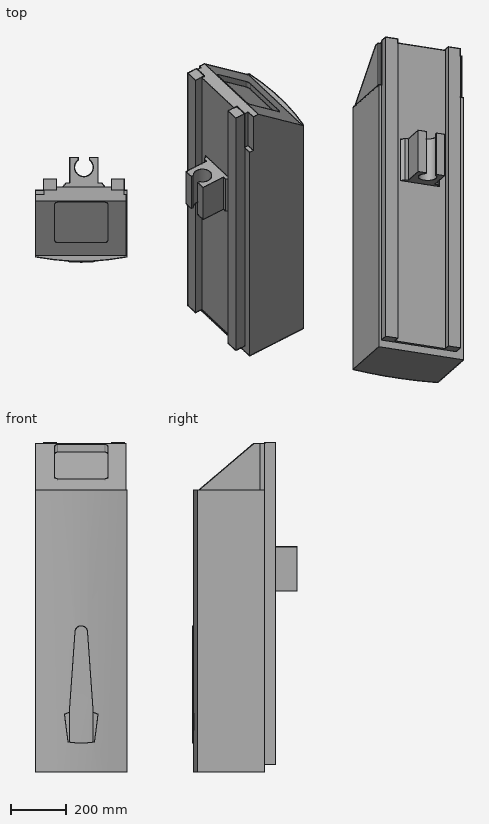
import cadquery as cq
import math


WIDTH = 329.0
HALF_WIDTH = WIDTH / 2
BODY_BACK = 255.0
BODY_TOP = 1175.0
COVER_TOP = 1009.0
COVER_EDGE = 15.0
CAP_RIGHT = 160.0
SLOPE_FRONT = 20.0
SLOPE_BACK = 216.0
NOTCH_FRONT = 238.0
NOTCH_UNDERCUT = 2.0

POCKET_WIDTH = 192.0
POCKET_FRONT = 67.0
POCKET_BACK = 211.0
POCKET_DEPTH = 27.0
POCKET_RADIUS = 11.0

FRAME_CENTER = 10.0
FRAME_WIDTH = 290.0
FRAME_LEFT = FRAME_CENTER - FRAME_WIDTH / 2
FRAME_RIGHT = FRAME_CENTER + FRAME_WIDTH / 2
FRAME_BOTTOM = 27.0
FRAME_TOP = 1178
RAIL_WIDTH = 47.0
RAIL_BACK = 295.0
PLATE_BACK = 266.0

CLAMP_BOTTOM = 647.0
CLAMP_TOP = 806.0
CLAMP_WIDTH = 103.0
CLAMP_BACK = 371.0
CLAMP_FOOT_BACK = 280.0
CLAMP_FOOT_WIDTH = 151.0
CLAMP_FOOT_TOP_WIDTH = 127.0
BORE_DIAMETER = 66.0
BORE_Y = 336.0
MOUTH_WIDTH = 39.0

HANDLE_RAISE = 4.0
WING_RAISE = 1.0
HANDLE_REACH = 15.0
TONGUE_TOP = 523.0
TONGUE_BOTTOM = 104.0
TONGUE_CORNER_Z = 107.0
TONGUE_SHOULDER_Z = 235.0
TONGUE_HALF_WIDTH = 41.0
ARCH_RADIUS = 22.0
WING_TOP_INNER_Z = 215.0
WING_TOP_OUTER_Z = 207.0
WING_TOP_HALF_WIDTH = 60.0
WING_BOTTOM_HALF_WIDTH = 47.0


def box(x_min, x_max, y_min, y_max, z_min, z_max):
    size = (x_max - x_min, y_max - y_min, z_max - z_min)
    return cq.Workplane("XY").box(*size, centered=False).translate((x_min, y_min, z_min))


def covered_block(raise_by):
    """Block over the full width whose front follows the cover, moved forward by raise_by."""
    return (
        cq.Workplane("XY")
        .moveTo(-HALF_WIDTH, COVER_EDGE - raise_by)
        .threePointArc((0, -raise_by), (HALF_WIDTH, COVER_EDGE - raise_by))
        .lineTo(HALF_WIDTH, BODY_BACK)
        .lineTo(-HALF_WIDTH, BODY_BACK)
        .close()
        .extrude(COVER_TOP)
    )


def make_cap():
    cap = (
        cq.Workplane("YZ", origin=(-HALF_WIDTH, 0, 0))
        .polyline([
            (SLOPE_FRONT, COVER_TOP),
            (SLOPE_BACK, BODY_TOP),
            (BODY_BACK, BODY_TOP),
            (BODY_BACK, COVER_TOP),
        ])
        .close()
        .extrude(HALF_WIDTH + CAP_RIGHT)
    )
    notch_left = FRAME_LEFT + NOTCH_UNDERCUT
    notch_right = FRAME_RIGHT - NOTCH_UNDERCUT
    for x_min, x_max in ((-HALF_WIDTH, notch_left), (notch_right, HALF_WIDTH)):
        cap = cap.cut(box(x_min, x_max, NOTCH_FRONT, BODY_BACK, COVER_TOP, BODY_TOP))
    return cap


def make_pocket():
    slope = (BODY_TOP - COVER_TOP) / (SLOPE_BACK - SLOPE_FRONT)
    front_floor = COVER_TOP + slope * (POCKET_FRONT - SLOPE_FRONT) - POCKET_DEPTH
    back_floor = COVER_TOP + slope * (POCKET_BACK - SLOPE_FRONT) - POCKET_DEPTH
    return (
        cq.Workplane("YZ", origin=(-POCKET_WIDTH / 2, 0, 0))
        .polyline([
            (POCKET_FRONT, front_floor),
            (POCKET_BACK, back_floor),
            (POCKET_BACK, BODY_TOP),
            (POCKET_FRONT, BODY_TOP),
        ])
        .close()
        .extrude(POCKET_WIDTH)
        .edges("|Z")
        .fillet(POCKET_RADIUS)
    )


def make_frame():
    frame = box(FRAME_LEFT, FRAME_RIGHT, BODY_BACK, PLATE_BACK, FRAME_BOTTOM, BODY_TOP)
    for x_min in (FRAME_LEFT, FRAME_RIGHT - RAIL_WIDTH):
        rail = box(x_min, x_min + RAIL_WIDTH, BODY_BACK, RAIL_BACK, FRAME_BOTTOM, FRAME_TOP)
        frame = frame.union(rail)
    return frame


def make_clamp():
    height = CLAMP_TOP - CLAMP_BOTTOM
    plane = cq.Workplane("XY", origin=(FRAME_CENTER, 0, CLAMP_BOTTOM))
    foot = (
        plane.polyline([
            (-CLAMP_FOOT_WIDTH / 2, PLATE_BACK),
            (CLAMP_FOOT_WIDTH / 2, PLATE_BACK),
            (CLAMP_FOOT_TOP_WIDTH / 2, CLAMP_FOOT_BACK),
            (-CLAMP_FOOT_TOP_WIDTH / 2, CLAMP_FOOT_BACK),
        ])
        .close()
        .extrude(height)
    )
    block_depth = CLAMP_BACK - PLATE_BACK
    block = plane.center(0, PLATE_BACK + block_depth / 2).rect(CLAMP_WIDTH, block_depth).extrude(height)
    bore = plane.center(0, BORE_Y).circle(BORE_DIAMETER / 2).extrude(height)
    mouth_depth = CLAMP_BACK - BORE_Y
    mouth = plane.center(0, BORE_Y + mouth_depth / 2).rect(MOUTH_WIDTH, mouth_depth).extrude(height)
    return foot.union(block).cut(bore).cut(mouth)


def arch_end():
    """Point (x, z) where the straight side from the tongue's shoulder touches the arch circle."""
    arch_z = TONGUE_TOP - ARCH_RADIUS
    rise = arch_z - TONGUE_SHOULDER_Z
    reach = math.hypot(rise, TONGUE_HALF_WIDTH)
    tilt = math.acos(ARCH_RADIUS / reach) - math.atan2(rise, TONGUE_HALF_WIDTH)
    return ARCH_RADIUS * math.cos(tilt), arch_z + ARCH_RADIUS * math.sin(tilt)


def make_tongue():
    arch_x, arch_end_z = arch_end()
    outline = (
        cq.Workplane("XZ")
        .moveTo(-TONGUE_HALF_WIDTH, TONGUE_CORNER_Z)
        .threePointArc((0, TONGUE_BOTTOM), (TONGUE_HALF_WIDTH, TONGUE_CORNER_Z))
        .lineTo(TONGUE_HALF_WIDTH, TONGUE_SHOULDER_Z)
        .lineTo(arch_x, arch_end_z)
        .threePointArc((0, TONGUE_TOP), (-arch_x, arch_end_z))
        .lineTo(-TONGUE_HALF_WIDTH, TONGUE_SHOULDER_Z)
        .close()
    )
    return outline.extrude(HANDLE_REACH, both=True)


def make_wings():
    right = (
        cq.Workplane("XZ")
        .polyline([
            (TONGUE_HALF_WIDTH, TONGUE_CORNER_Z),
            (WING_BOTTOM_HALF_WIDTH, TONGUE_CORNER_Z),
            (WING_TOP_HALF_WIDTH, WING_TOP_OUTER_Z),
            (TONGUE_HALF_WIDTH, WING_TOP_INNER_Z),
        ])
        .close()
        .extrude(HANDLE_REACH, both=True)
    )
    return right.union(right.mirror("YZ"))


def make_handle():
    tongue = make_tongue().intersect(covered_block(HANDLE_RAISE))
    wings = make_wings().intersect(covered_block(WING_RAISE))
    return tongue.union(wings)


body = covered_block(0).union(make_cap()).cut(make_pocket())
result = body.union(make_frame()).union(make_clamp()).union(make_handle())